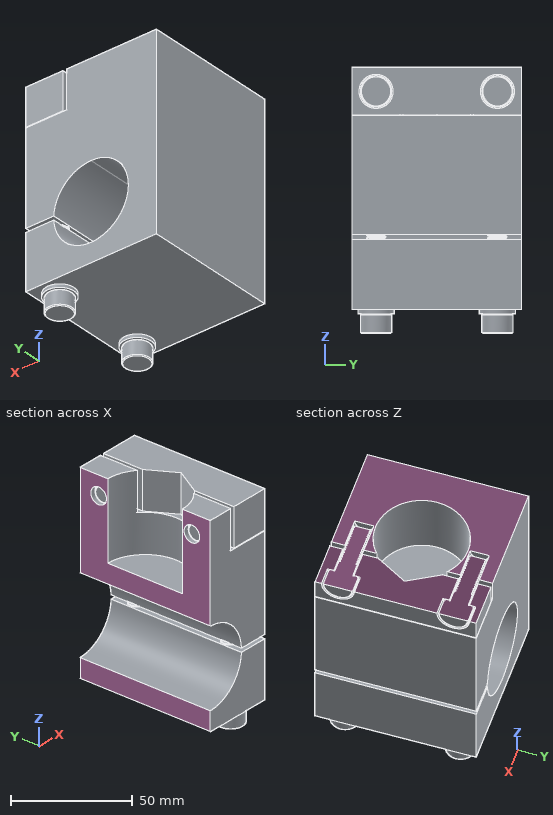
import cadquery as cq
import math

block_side = 70.0
block_height = 100.0
bore_diameter = 40.0
clamp_gap = 2.0
upper_bore_depth = 40.0
lower_bore_height = 30.0

jaw_thickness = 20.0
recess_depth = 20.0
jaw_bottom_clearance = 0.3
vee_angle = 120

screw_inset = 10.0
head_diameter = 13.0
head_height = 8.0
head_chamfer = 0.4
thread_diameter = 8.0
thread_root_diameter = 6.7
thread_turns = 16
thread_length = 20.0
thread_start_angle = 90
lower_screw_length = 40.0
upper_screw_length = 25.0
washer_diameter = 15.0
washer_hole_diameter = 8.5
washer_thickness = 1.8

clearance_diameter = washer_hole_diameter
threaded_hole_diameter = 8.1
counterbore_diameter = 14.0
tip_clearance = 2.2

half_side = block_side / 2
bore_radius = bore_diameter / 2
jaw_face_x = half_side - jaw_thickness
recess_wall_x = jaw_face_x - clamp_gap
recess_floor_z = block_height - recess_depth
jaw_bottom_z = recess_floor_z + jaw_bottom_clearance
lower_slot_top_z = lower_bore_height + clamp_gap / 2
thread_pitch = thread_length / thread_turns
screw_offset = half_side - screw_inset
upper_screw_z = block_height - screw_inset
upper_seat_x = half_side - head_height
screw_rows = (-screw_offset, screw_offset)


def rod(start, direction, diameter, length):
    """Cylinder running from a start point along a direction."""
    return cq.Workplane(cq.Solid.makeCylinder(diameter / 2, length, cq.Vector(*start), cq.Vector(*direction)))


def box_between(low, high):
    """Box given by two opposite corners."""
    size = [b - a for a, b in zip(low, high)]
    return cq.Workplane().box(*size, centered=False).translate(low)


def upper_screw_hole(y, diameter):
    """Hole along -X from the seat of an upper screw head to just past its tip."""
    return rod((upper_seat_x, y, upper_screw_z), (-1, 0, 0), diameter, upper_screw_length + tip_clearance)


def make_block():
    block = box_between((-half_side, -half_side, 0), (half_side, half_side, block_height))

    recess = box_between(
        (recess_wall_x, -half_side, recess_floor_z),
        (half_side, half_side, block_height),
    )
    upper_bore = rod((0, 0, block_height), (0, 0, -1), bore_diameter, upper_bore_depth)
    lower_bore = rod((0, -half_side, lower_bore_height), (0, 1, 0), bore_diameter, block_side)
    lower_slot = box_between(
        (0, -half_side, lower_slot_top_z - clamp_gap),
        (half_side, half_side, lower_slot_top_z),
    )
    block = block.cut(recess).cut(upper_bore).cut(lower_bore).cut(lower_slot)

    lower_hole_depth = lower_screw_length - washer_thickness + tip_clearance
    for y in screw_rows:
        bottom = (screw_offset, y, 0)
        block = block.cut(rod(bottom, (0, 0, 1), clearance_diameter, lower_slot_top_z))
        block = block.cut(rod(bottom, (0, 0, 1), threaded_hole_diameter, lower_hole_depth))
        block = block.cut(upper_screw_hole(y, threaded_hole_diameter))
    return block


def make_jaw():
    jaw = box_between((jaw_face_x, -half_side, jaw_bottom_z), (half_side, half_side, block_height))

    half_angle = math.radians(vee_angle / 2)
    vee_tip_x = bore_radius / math.sin(half_angle)
    vee_half_width = (vee_tip_x - jaw_face_x) * math.tan(half_angle)
    vee = (
        cq.Workplane()
        .polyline([(jaw_face_x, -vee_half_width), (vee_tip_x, 0), (jaw_face_x, vee_half_width)])
        .close()
        .extrude(block_height)
    )
    jaw = jaw.cut(vee)

    for y in screw_rows:
        counterbore = rod((half_side, y, upper_screw_z), (-1, 0, 0), counterbore_diameter, head_height)
        jaw = jaw.cut(counterbore).cut(upper_screw_hole(y, clearance_diameter))
    return jaw


def make_thread_groove(shank_length):
    """Right-handed helical tapered groove, from the thread start to beyond the shank tip."""
    root_radius = thread_root_diameter / 2
    crest_radius = thread_diameter / 2
    groove_overshoot = 0.1
    mouth_half_width = 0.45 * thread_pitch
    root_half_width = 0.1 * thread_pitch
    start_z = shank_length - thread_length
    outer_radius = crest_radius + groove_overshoot
    helix = cq.Wire.makeHelix(
        thread_pitch, thread_length + thread_pitch, root_radius, cq.Vector(0, 0, start_z)
    )
    return (
        cq.Workplane("XZ")
        .polyline([
            (root_radius, start_z - root_half_width),
            (outer_radius, start_z - mouth_half_width),
            (outer_radius, start_z + mouth_half_width),
            (root_radius, start_z + root_half_width),
        ])
        .close()
        .sweep(cq.Workplane(helix), isFrenet=True)
        .rotate((0, 0, 0), (0, 0, 1), thread_start_angle)
    )


def make_screw(shank_length):
    """Cap screw along +Z, with the underside of its head at Z = 0."""
    head = rod((0, 0, 0), (0, 0, -1), head_diameter, head_height).edges("%CIRCLE").chamfer(head_chamfer)
    shank = rod((0, 0, 0), (0, 0, 1), thread_diameter, shank_length)
    shank = shank.cut(make_thread_groove(shank_length))
    return head.union(shank)


def make_washer():
    """Flat washer, with its upper face at Z = 0."""
    disc = rod((0, 0, 0), (0, 0, -1), washer_diameter, washer_thickness)
    return disc.cut(rod((0, 0, 0), (0, 0, -1), washer_hole_diameter, washer_thickness))


block = make_block()
jaw = make_jaw()
washer = make_washer()
lower_screw = make_screw(lower_screw_length)
upper_screw = make_screw(upper_screw_length).rotate((0, 0, 0), (0, 1, 0), -90)

washers = [washer.translate((screw_offset, y, 0)) for y in screw_rows]
lower_screws = [lower_screw.translate((screw_offset, y, -washer_thickness)) for y in screw_rows]
upper_screws = [upper_screw.translate((upper_seat_x, y, upper_screw_z)) for y in screw_rows]

result = cq.Compound.makeCompound(
    [body.solids().val() for body in (block, jaw, *washers, *lower_screws, *upper_screws)]
)